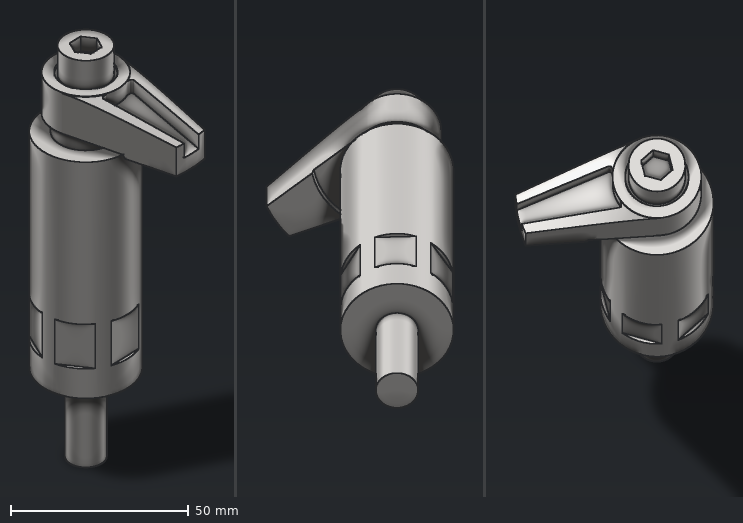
import cadquery as cq
import math

total_height = 139.0
rod_length = 30.0
housing_length = 79.9
neck_height = 6.1
hub_height = 13.9
housing_top = rod_length + housing_length
hub_bottom = housing_top + neck_height
hub_top = hub_bottom + hub_height

housing_radius = 16.0
neck_diameter = 20.0
flat_count = 6
flat_distance = 14.9
flat_height = 15.0
flat_bottom = rod_length + 10.0

rod_diameter = 12.0
head_diameter = 16.0
hex_across_flats = 8.0
hex_depth = 5.0

hub_radius = 12.5
recess_diameter = 18.0
recess_depth = 1.0
tip_radius = 40.0
tip_half_width = 6.0
tip_drop = 5.1
shoulder_drop = 0.3
pad_start_radius = 23.8
pad_ramp = 0.5
pad_drop = 1.1
slot_root_half_width = 6.5
slot_tip_half_width = 3.0
slot_depth = 4.9
slot_corner_radius = 0.8


def cylinder(diameter, bottom, top):
    return cq.Workplane("XY").workplane(offset=bottom).circle(diameter / 2).extrude(top - bottom)


def make_housing():
    """Round housing with a neck, a ring of wrench flats and a bore for the rod."""
    body = cylinder(2 * housing_radius, rod_length, housing_top)
    body = body.union(cylinder(neck_diameter, housing_top, hub_bottom))
    flat_depth = housing_radius - flat_distance
    cutter = cq.Workplane("XY").box(
        2 * flat_depth, 2 * housing_radius, flat_height, centered=(False, True, False)
    ).translate((flat_distance, 0, flat_bottom))
    for index in range(flat_count):
        body = body.cut(cutter.rotate((0, 0, 0), (0, 0, 1), index * 360 / flat_count))
    return body.cut(cylinder(rod_diameter, 0, total_height))


def revolve_profile(points):
    """Turn a profile of (radius, Z) points about the vertical axis."""
    return cq.Workplane("XZ").polyline(points).close().revolve(360, (0, 0, 0), (0, 1, 0))


def make_arm():
    """Arm turned about the hub axis and trimmed to sides tangent to the hub."""
    tangent_angle = math.atan2(tip_half_width, tip_radius) + math.acos(
        hub_radius / math.hypot(tip_radius, tip_half_width)
    )
    tangent_x = hub_radius * math.cos(tangent_angle)
    tangent_y = hub_radius * math.sin(tangent_angle)
    arm_bottom = hub_bottom - pad_drop
    shoulder_z = hub_top - shoulder_drop
    tip_z = hub_top - tip_drop
    plan = (
        cq.Workplane("XY").workplane(offset=arm_bottom)
        .polyline([(0, -tangent_y), (tangent_x, -tangent_y), (tip_radius, -tip_half_width),
                   (tip_radius, tip_half_width), (tangent_x, tangent_y), (0, tangent_y)])
        .close().extrude(hub_top - arm_bottom)
    )
    turned_arm = revolve_profile([
        (0, hub_bottom), (pad_start_radius, hub_bottom), (pad_start_radius + pad_ramp, arm_bottom),
        (tip_radius, arm_bottom), (tip_radius, tip_z), (hub_radius, shoulder_z), (0, shoulder_z),
    ])
    return plan.intersect(turned_arm).cut(make_slot(shoulder_z, tip_z))


def make_slot(shoulder_z, tip_z):
    """Tapered slot cutter with a flat floor that slopes like the arm's upper face."""
    root_x = hub_radius - slot_corner_radius
    plan = (
        cq.Workplane("XY").workplane(offset=hub_bottom)
        .polyline([(root_x, -slot_root_half_width), (tip_radius, -slot_tip_half_width),
                   (tip_radius, slot_tip_half_width), (root_x, slot_root_half_width)])
        .close().extrude(hub_height)
        .edges("|Z and <X").fillet(slot_corner_radius)
    )
    slope = (shoulder_z - tip_z) / (tip_radius - hub_radius)
    floor_at_axis = shoulder_z - slot_depth + slope * hub_radius
    side = (
        cq.Workplane("XZ")
        .polyline([(0, floor_at_axis), (tip_radius, tip_z - slot_depth), (tip_radius, hub_top), (0, hub_top)])
        .close().extrude(hub_radius, both=True)
    )
    return plan.intersect(side)


def make_lever():
    """Clamping lever: hub with the arm, bored and recessed for the screw."""
    lever = make_arm().union(cylinder(2 * hub_radius, hub_bottom, hub_top))
    lever = lever.cut(cylinder(rod_diameter, hub_bottom, hub_top))
    return lever.cut(cylinder(recess_diameter, hub_top - recess_depth, hub_top))


def make_screw():
    """Screw with its head seated in the hub recess and its rod through the housing."""
    head_bottom = hub_top - recess_depth
    screw = cylinder(rod_diameter, 0, head_bottom).union(cylinder(head_diameter, head_bottom, total_height))
    hex_corner_diameter = hex_across_flats / math.cos(math.pi / 6)
    socket = (
        cq.Workplane("XY").workplane(offset=total_height - hex_depth)
        .transformed(rotate=(0, 0, 30))
        .polygon(6, hex_corner_diameter).extrude(hex_depth)
    )
    return screw.cut(socket)


housing = make_housing()
lever = make_lever()
screw = make_screw()

result = cq.Compound.makeCompound([housing.val(), lever.val(), screw.val()])